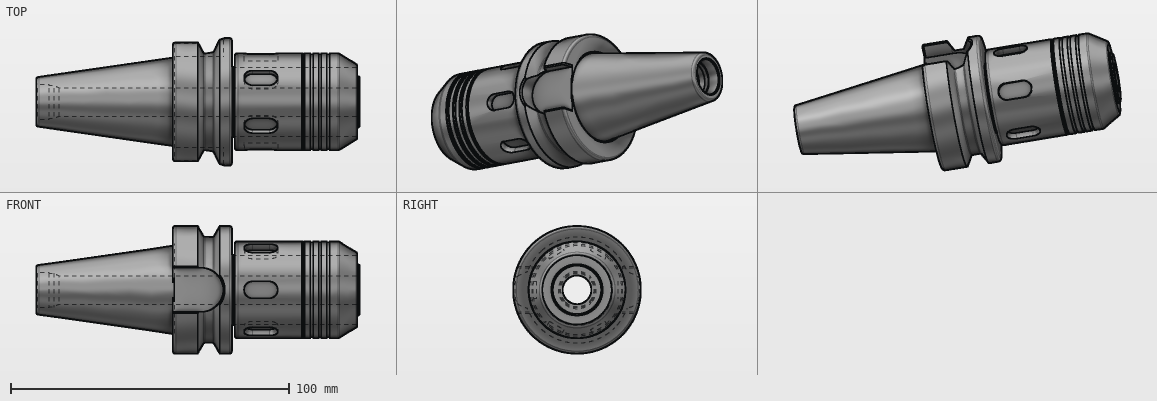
import cadquery as cq
import math

total_length = 116.4

shank_small_diameter = 17.7
shank_big_diameter = 32.0
shank_end_fillet = 1.0

flange_diameter = 46.0
flange_start = 49.1
flange_end = 70.4
flange_fillet = 1.0
undercut_depth = 0.6
undercut_diameter = 33.0

groove_center = 62.0
groove_floor_width = 3.5
groove_floor_diameter = 38.2
groove_half_angle = 30.0
groove_fillet = 0.5

slot_width = 15.8
slot_floor_offset = 16.3
slot_end = 67.3
slot_chamfer = 0.6

collar_diameter = 25.4
collar_end = 70.9
core_diameter = 24.9
tip_diameter = 18.5
tip_chamfer = 0.6

bore_diameter = 10.2
counterbore_diameter = 12.7
counterbore_depth = 4.7
mouth_diameter = 13.5
mouth_chamfer = (mouth_diameter - counterbore_diameter) / 2
land_diameter = 12.0
land_end = 6.3
bore_start = 8.1

nut_diameter = 34.9
nut_start = 71.4
nut_end = 115.5
nut_rear_fillet = 1.0
nose_start = 108.7
nose_diameter = 26.7
nose_fillet = 1.0

ring_width = 1.0
ring_depth = 0.3
ring_starts = [98.6, 101.5, 104.5]
first_ring_start = 95.5
first_ring_depth = 0.2

wrench_slot_count = 6
wrench_slot_length = 12.1
wrench_slot_width = 6.0
wrench_slot_center = 80.8
wrench_floor_diameter = 29.5


def revolve_about_x(profile):
    """Revolve a closed (x, radius) profile about the X axis."""
    return profile.close().revolve(360, (0, 0, 0), (1, 0, 0))


def make_shank():
    """Shank running into the undercut at the flange face."""
    base = flange_start + undercut_depth
    big_radius = shank_big_diameter / 2
    small_radius = shank_small_diameter / 2
    shank = revolve_about_x(
        cq.Workplane("XY").lineTo(0, small_radius).lineTo(base, big_radius).lineTo(base, 0)
    )
    return shank.faces("<X").edges().fillet(shank_end_fillet)


def disc(start, end, diameter):
    """Cylinder along X between two positions."""
    return cq.Workplane("YZ", origin=(start, 0, 0)).circle(diameter / 2).extrude(end - start)


def make_v_groove():
    """Ring that cuts the V groove out of the flange."""
    floor_radius = groove_floor_diameter / 2
    rim_radius = flange_diameter / 2
    floor_half = groove_floor_width / 2
    rim_half = floor_half + (rim_radius - floor_radius) * math.tan(math.radians(groove_half_angle))
    groove = revolve_about_x(
        cq.Workplane("XY")
        .moveTo(groove_center - rim_half, rim_radius)
        .lineTo(groove_center - floor_half, floor_radius)
        .lineTo(groove_center + floor_half, floor_radius)
        .lineTo(groove_center + rim_half, rim_radius)
    )
    floor_edges = cq.selectors.RadiusNthSelector(0)
    return groove.edges(floor_edges).fillet(groove_fillet)


def make_drive_slot():
    """Round-ended cutter for the slot on the -Y side, open at the shank end."""
    half_width = slot_width / 2
    arc_center = slot_end - half_width
    return (
        cq.Workplane("XZ", origin=(0, -slot_floor_offset, 0))
        .moveTo(flange_start, -half_width)
        .lineTo(arc_center, -half_width)
        .threePointArc((slot_end, 0), (arc_center, half_width))
        .lineTo(flange_start, half_width)
        .close()
        .extrude(flange_diameter / 2 - slot_floor_offset)
    )


def slot_rim_edges(flange):
    """Outer edges of the drive slot walls, leaving out the edges along the flat floors."""
    reach = slot_width / 2 + 0.1
    walls = flange.faces(
        cq.selectors.BoxSelector(
            (flange_start - 0.1, -flange_diameter, -reach),
            (slot_end + 0.1, flange_diameter, reach),
            boundingbox=True,
        )
    ).faces("not |Y")
    edges = [edge for wall in walls.vals() for edge in wall.Edges()]
    shared_once = [edge for edge in edges if sum(edge.isSame(other) for other in edges) == 1]
    return [edge for edge in shared_once if abs(edge.Center().y) > slot_floor_offset + 0.1]


def make_flange():
    flange = disc(flange_start, flange_end, flange_diameter)
    flange = flange.faces("<X or >X").edges().fillet(flange_fillet)
    slot = make_drive_slot()
    for angle in (0, 180):
        flange = flange.cut(slot.rotate((0, 0, 0), (1, 0, 0), angle))
    flange = flange.newObject(slot_rim_edges(flange)).chamfer(slot_chamfer)
    flange = flange.cut(make_v_groove())
    return flange.cut(disc(flange_start, flange_start + undercut_depth, undercut_diameter))


def make_core():
    """Core that carries the nut, ending in a chamfered tip."""
    tip = disc(nut_end, total_length, tip_diameter).faces(">X").chamfer(tip_chamfer)
    collar = disc(flange_end, collar_end, collar_diameter)
    return collar.union(disc(collar_end, nut_end, core_diameter)).union(tip)


def make_bore():
    """Through bore with a chamfered counterbore at the shank end."""
    bore_radius = bore_diameter / 2
    counterbore_radius = counterbore_diameter / 2
    land_radius = land_diameter / 2
    return revolve_about_x(
        cq.Workplane("XY")
        .lineTo(0, mouth_diameter / 2)
        .lineTo(mouth_chamfer, counterbore_radius)
        .lineTo(counterbore_depth, counterbore_radius)
        .lineTo(counterbore_depth, land_radius)
        .lineTo(land_end, land_radius)
        .lineTo(bore_start, bore_radius)
        .lineTo(total_length, bore_radius)
        .lineTo(total_length, 0)
    )


def make_holder():
    return make_shank().union(make_flange()).union(make_core()).cut(make_bore())


def make_nut():
    outer_radius = nut_diameter / 2
    nut = revolve_about_x(
        cq.Workplane("XY")
        .moveTo(nut_start, 0)
        .lineTo(nut_start, outer_radius)
        .lineTo(nose_start, outer_radius)
        .lineTo(nut_end, nose_diameter / 2)
        .lineTo(nut_end, 0)
    )
    nut = nut.faces("<X").edges().fillet(nut_rear_fillet)
    nut = nut.faces("%CONE").edges("%CIRCLE").fillet(nose_fillet)
    for start in ring_starts:
        ring = disc(start, start + ring_width, nut_diameter)
        nut = nut.cut(ring.cut(disc(start, start + ring_width, nut_diameter - 2 * ring_depth)))
    nut = nut.cut(
        revolve_about_x(
            cq.Workplane("XY")
            .moveTo(first_ring_start, outer_radius)
            .lineTo(first_ring_start + ring_width / 2, outer_radius - first_ring_depth)
            .lineTo(first_ring_start + ring_width, outer_radius)
        )
    )
    wrench_slot = (
        cq.Workplane("XZ", origin=(wrench_slot_center, -wrench_floor_diameter / 2, 0))
        .slot2D(wrench_slot_length, wrench_slot_width)
        .extrude(nut_diameter / 2)
    )
    for index in range(wrench_slot_count):
        nut = nut.cut(wrench_slot.rotate((0, 0, 0), (1, 0, 0), index * 360 / wrench_slot_count))
    return nut.cut(disc(nut_start, nut_end, core_diameter))


holder = make_holder()
nut = make_nut()
result = cq.Compound.makeCompound([holder.val(), nut.val()])